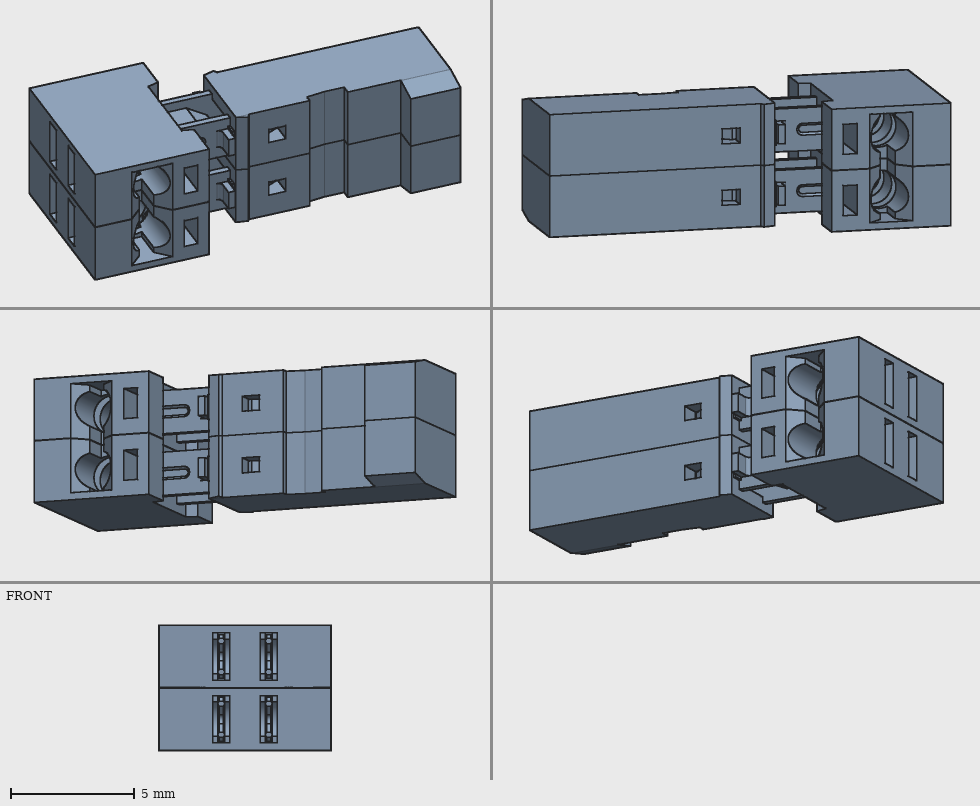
import cadquery as cq
import math


TOTAL_LENGTH = 16.35
MODULE_HEIGHT = 2.542
MID_Z = MODULE_HEIGHT / 2
FRONT_Y = -TOTAL_LENGTH / 2
BACK_Y = TOTAL_LENGTH / 2

BLOCK_WIDTH = 7.0
BLOCK_LENGTH = 5.0
BLOCK_SEAM_CLEARANCE = 0.008
BLOCK_BACK_Y = FRONT_Y + BLOCK_LENGTH
NOTCH_DEPTH = 0.49
NOTCH_FLOOR_WIDTH = 3.56
NOTCH_MOUTH_WIDTH = 3.83
NOTCH_FLOOR_Y = BLOCK_BACK_Y - NOTCH_DEPTH

WIRE_HOLE_DIAMETER = 1.59
WIRE_HOLE_Y = -5.64
FUNNEL_Y = -5.67
FUNNEL_MOUTH_LENGTH = 1.8
FUNNEL_DEPTH = 0.59
FUNNEL_THROAT_LENGTH = FUNNEL_MOUTH_LENGTH - 2 * FUNNEL_DEPTH
FUNNEL_SLOT_END_X = 1.64
FUNNEL_WALL = 0.3

BLADE_X = 0.96
BLADE_THICKNESS = 0.3
BLADE_OUTER_X = BLADE_X + BLADE_THICKNESS / 2
BLADE_INNER_X = BLADE_X - BLADE_THICKNESS / 2
BLADE_HEIGHT = 1.78
BLADE_TIP_Y = -4.99
PRONG_OUTER_Z = 0.74
PRONG_INNER_Z = 0.52
PRONG_BEVEL_LENGTH = 0.16
PRONG_SLOT_RADIUS = 0.18
PRONG_THROAT_Y = -4.66
PRONG_EDGE_BEVEL = 0.07

GROOVE_WIDTH = 0.49
GROOVE_DEPTH = 0.1
GROOVE_TAPER = 45
GROOVE_FRONT_Y = -4.33
GROOVE_NOSE_Y = -2.34

STOP_TAB_END_X = 1.9
STOP_TAB_BACK_Y = -1.35
STOP_TAB_THICKNESS = 0.3
STOP_TAB_HEIGHT = 0.78
STOP_TAB_BEND_RADIUS = 0.2
STOP_PAD_END_X = 1.55
STOP_PAD_HEIGHT = 1.01

SLOT_WIDTH = 0.69
SLOT_HEIGHT = 1.91
SLOT_FLOOR_Y = -5.26
BLADE_SLOT_END_Y = -4.41

BLOCK_WINDOW_LENGTH = 0.59
BLOCK_WINDOW_HEIGHT = 1.25

KEY_WIDTH = 2 * BLADE_INNER_X
KEY_HEIGHT = 0.98
KEY_SHOULDER_Y = -2.39
KEY_TIP_LENGTH = 0.74
KEY_TIP_WIDTH = 0.82
KEY_TIP_HEIGHT = 0.43

HOUSING_WIDTH = 3.4
HOUSING_SIDE_X = HOUSING_WIDTH / 2
HOUSING_FRONT_Y = -1.26
FLANGE_PEAK_X = 1.85
FLANGE_PEAK_Y = -0.77
FLANGE_BACK_Y = -0.67
TAIL_WIDTH = 1.08
TAIL_LENGTH = 2.19
TAIL_DROP = 0.26

SIDE_RECESS_BACK_Y = 3.66
SIDE_RECESS_RAMP_Y = 2.78
SIDE_RECESS_FRONT_Y = 2.0
SIDE_RECESS_FLOOR_X = 1.3
SIDE_RECESS_FRONT_X = 1.4

LATCH_BACK_Y = 0.95
LATCH_PEAK_Y = 0.38
LATCH_FRONT_Y = 0.2
LATCH_FRONT_X = 1.06
LATCH_HEIGHT = 0.62
LANCE_HEIGHT = 0.55
LANCE_BACK_X = 0.85
LANCE_BACK_Y = 0.9

CAVITY_HEIGHT = 1.3
CAVITY_DEPTH = 0.98


def box_between(x0, x1, y0, y1, z0, z1):
    """Box from its low and high limits along X, Y and Z."""
    return cq.Workplane("XY").box(x1 - x0, y1 - y0, z1 - z0, centered=False).translate((x0, y0, z0))


def centered_box(x0, x1, y0, y1, height):
    """Box centred on the middle height of the upper module."""
    return box_between(x0, x1, y0, y1, MID_Z - height / 2, MID_Z + height / 2)


def centered_prism(points, height):
    """Prism along Z over an XY outline, centred on the middle height of the upper module."""
    return cq.Workplane("XY").workplane(offset=MID_Z - height / 2).polyline(points).close().extrude(height)


def both_sides(solid):
    """A shape on the +X side together with its mirror image on the -X side."""
    return solid.union(solid.mirror("YZ"))


def cable_block():
    half = BLOCK_WIDTH / 2
    block = box_between(-half, half, FRONT_Y, BLOCK_BACK_Y, BLOCK_SEAM_CLEARANCE, MODULE_HEIGHT)
    notch = centered_prism(
        [
            (-NOTCH_MOUTH_WIDTH / 2, BLOCK_BACK_Y),
            (-NOTCH_FLOOR_WIDTH / 2, NOTCH_FLOOR_Y),
            (NOTCH_FLOOR_WIDTH / 2, NOTCH_FLOOR_Y),
            (NOTCH_MOUTH_WIDTH / 2, BLOCK_BACK_Y),
        ],
        MODULE_HEIGHT,
    )
    wire_hole = (
        cq.Workplane("YZ", origin=(-half, WIRE_HOLE_Y, MID_Z))
        .circle(WIRE_HOLE_DIAMETER / 2)
        .extrude(BLOCK_WIDTH)
    )
    block = block.cut(notch).cut(wire_hole)
    return block.cut(both_sides(funnel())).cut(both_sides(front_slot())).cut(both_sides(block_window()))


def funnel():
    """Lead-in at the end of a wire hole that narrows into a slot. It is open at the seam."""
    mouth_x = BLOCK_WIDTH / 2
    throat_x = mouth_x - FUNNEL_DEPTH
    return (
        cq.Workplane("XY")
        .polyline(
            [
                (mouth_x, FUNNEL_Y - FUNNEL_MOUTH_LENGTH / 2),
                (throat_x, FUNNEL_Y - FUNNEL_THROAT_LENGTH / 2),
                (FUNNEL_SLOT_END_X, FUNNEL_Y - FUNNEL_THROAT_LENGTH / 2),
                (FUNNEL_SLOT_END_X, FUNNEL_Y + FUNNEL_THROAT_LENGTH / 2),
                (throat_x, FUNNEL_Y + FUNNEL_THROAT_LENGTH / 2),
                (mouth_x, FUNNEL_Y + FUNNEL_MOUTH_LENGTH / 2),
            ]
        )
        .close()
        .extrude(MODULE_HEIGHT - FUNNEL_WALL)
    )


def front_slot():
    """Wide slot from the front face, then a narrow one around the blade tip."""
    wide = centered_box(
        BLADE_X - SLOT_WIDTH / 2, BLADE_X + SLOT_WIDTH / 2, FRONT_Y, SLOT_FLOOR_Y, SLOT_HEIGHT
    )
    narrow = centered_box(BLADE_INNER_X, BLADE_OUTER_X, SLOT_FLOOR_Y, BLADE_SLOT_END_Y, SLOT_HEIGHT)
    return wide.union(narrow)


def block_window():
    return centered_box(
        BLADE_OUTER_X,
        BLOCK_WIDTH / 2,
        NOTCH_FLOOR_Y - BLOCK_WINDOW_LENGTH,
        NOTCH_FLOOR_Y,
        BLOCK_WINDOW_HEIGHT,
    )


def forked_blade():
    """Flat blade whose front end is a fork with a round-bottomed wire slot and bevelled edges."""
    half = BLADE_HEIGHT / 2
    bevel_end_y = BLADE_TIP_Y + PRONG_BEVEL_LENGTH
    blade = (
        cq.Workplane("YZ", origin=(BLADE_INNER_X, 0, MID_Z))
        .moveTo(HOUSING_FRONT_Y, -half)
        .lineTo(bevel_end_y, -half)
        .lineTo(BLADE_TIP_Y, -PRONG_OUTER_Z)
        .lineTo(BLADE_TIP_Y, -PRONG_INNER_Z)
        .lineTo(PRONG_THROAT_Y, -PRONG_SLOT_RADIUS)
        .threePointArc((PRONG_THROAT_Y + PRONG_SLOT_RADIUS, 0), (PRONG_THROAT_Y, PRONG_SLOT_RADIUS))
        .lineTo(BLADE_TIP_Y, PRONG_INNER_Z)
        .lineTo(BLADE_TIP_Y, PRONG_OUTER_Z)
        .lineTo(bevel_end_y, half)
        .lineTo(HOUSING_FRONT_Y, half)
        .close()
        .extrude(BLADE_THICKNESS)
    )
    prong_edges = cq.selectors.BoxSelector(
        (0, BLADE_TIP_Y + PRONG_BEVEL_LENGTH / 4, 0),
        (2 * BLADE_OUTER_X, PRONG_THROAT_Y + 2 * PRONG_SLOT_RADIUS, MODULE_HEIGHT),
    )
    return blade.faces("|X").edges(prong_edges).chamfer(PRONG_EDGE_BEVEL)


def blade_groove():
    """Groove with sloped walls and a round rear nose, in the outer face of the blade."""
    radius = GROOVE_WIDTH / 2
    return (
        cq.Workplane("YZ", origin=(BLADE_OUTER_X, 0, MID_Z))
        .moveTo(GROOVE_FRONT_Y, -radius)
        .lineTo(GROOVE_NOSE_Y - radius, -radius)
        .threePointArc((GROOVE_NOSE_Y, 0), (GROOVE_NOSE_Y - radius, radius))
        .lineTo(GROOVE_FRONT_Y, radius)
        .close()
        .extrude(-GROOVE_DEPTH, taper=GROOVE_TAPER)
    )


def stop_tab():
    """Outward tab with a rounded inside bend, and the pad that bears on the housing."""
    front_y = STOP_TAB_BACK_Y - STOP_TAB_THICKNESS
    radius = STOP_TAB_BEND_RADIUS
    bend_middle = radius * (1 - math.sqrt(0.5))
    tab = (
        cq.Workplane("XY", origin=(0, 0, MID_Z - STOP_TAB_HEIGHT / 2))
        .moveTo(BLADE_OUTER_X, STOP_TAB_BACK_Y)
        .lineTo(STOP_TAB_END_X, STOP_TAB_BACK_Y)
        .lineTo(STOP_TAB_END_X, front_y)
        .lineTo(BLADE_OUTER_X + radius, front_y)
        .threePointArc(
            (BLADE_OUTER_X + bend_middle, front_y - bend_middle),
            (BLADE_OUTER_X, front_y - radius),
        )
        .close()
        .extrude(STOP_TAB_HEIGHT)
    )
    pad = centered_box(BLADE_OUTER_X, STOP_PAD_END_X, STOP_TAB_BACK_Y, HOUSING_FRONT_Y, STOP_PAD_HEIGHT)
    return tab.union(pad)


def key():
    """Bar between the blades with a tip tapered on all four sides."""
    half = KEY_WIDTH / 2
    bar = centered_box(-half, half, NOTCH_FLOOR_Y, KEY_SHOULDER_Y, KEY_HEIGHT)
    tip = (
        cq.Workplane("XZ", origin=(0, KEY_SHOULDER_Y, MID_Z))
        .rect(KEY_WIDTH, KEY_HEIGHT)
        .workplane(offset=-KEY_TIP_LENGTH)
        .rect(KEY_TIP_WIDTH, KEY_TIP_HEIGHT)
        .loft(ruled=True)
    )
    return bar.union(tip)


def rear_housing():
    half = HOUSING_SIDE_X
    housing = box_between(-half, half, HOUSING_FRONT_Y, BACK_Y, 0, MODULE_HEIGHT)
    tail = box_between(half, half + TAIL_WIDTH, BACK_Y - TAIL_LENGTH, BACK_Y, 0, MODULE_HEIGHT)
    right_side = tail.union(flange()).cut(outer_slope())
    housing = housing.union(flange().mirror("YZ")).union(right_side)
    housing = housing.cut(side_recess()).cut(front_cavity())
    return housing.cut(both_sides(latch_window().cut(latch_lance())))


def flange():
    """Ridge along the front edge of one side."""
    return centered_prism(
        [
            (HOUSING_SIDE_X, HOUSING_FRONT_Y),
            (FLANGE_PEAK_X, FLANGE_PEAK_Y),
            (HOUSING_SIDE_X, FLANGE_BACK_Y),
        ],
        MODULE_HEIGHT,
    )


def outer_slope():
    """Wedge that slopes the top of everything standing out from the +X side."""
    end_x = HOUSING_SIDE_X + TAIL_WIDTH
    return (
        cq.Workplane("XZ", origin=(0, BACK_Y, 0))
        .polyline(
            [
                (HOUSING_SIDE_X, MODULE_HEIGHT),
                (end_x, MODULE_HEIGHT),
                (end_x, MODULE_HEIGHT - TAIL_DROP),
            ]
        )
        .close()
        .extrude(BACK_Y - HOUSING_FRONT_Y)
    )


def side_recess():
    return centered_prism(
        [
            (HOUSING_SIDE_X, SIDE_RECESS_BACK_Y),
            (SIDE_RECESS_FLOOR_X, SIDE_RECESS_BACK_Y),
            (SIDE_RECESS_FLOOR_X, SIDE_RECESS_RAMP_Y),
            (SIDE_RECESS_FRONT_X, SIDE_RECESS_FRONT_Y),
            (HOUSING_SIDE_X, SIDE_RECESS_FRONT_Y),
        ],
        MODULE_HEIGHT,
    )


def latch_window():
    return centered_box(BLADE_INNER_X, HOUSING_SIDE_X, LATCH_FRONT_Y, LATCH_BACK_Y, LATCH_HEIGHT)


def latch_lance():
    """Tongue in a latch window, with a ridge level with the outer blade face."""
    return centered_prism(
        [
            (BLADE_INNER_X, LATCH_FRONT_Y),
            (LATCH_FRONT_X, LATCH_FRONT_Y),
            (BLADE_OUTER_X, LATCH_PEAK_Y),
            (LANCE_BACK_X, LANCE_BACK_Y),
            (BLADE_INNER_X, LANCE_BACK_Y),
        ],
        LANCE_HEIGHT,
    )


def front_cavity():
    return centered_box(
        -BLADE_INNER_X, BLADE_INNER_X, HOUSING_FRONT_Y, HOUSING_FRONT_Y + CAVITY_DEPTH, CAVITY_HEIGHT
    )


def connector_module():
    blades = both_sides(forked_blade().union(stop_tab()))
    body = cable_block().union(key()).union(blades).union(rear_housing())
    return body.cut(both_sides(blade_groove()))


upper_module = connector_module()
lower_module = upper_module.mirror("XY")

result = cq.Compound.makeCompound([upper_module.val(), lower_module.val()])